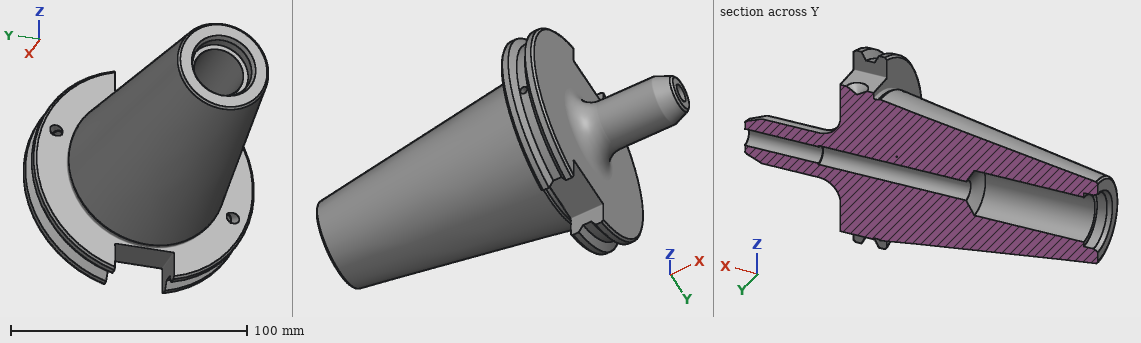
import cadquery as cq
import math

total_length = 165.1
flange_width = 15.7
flange_start = 104.8
flange_end = flange_start + flange_width
taper_length = 101.7
gauge_land_end = 102.7
fillet_end = 130.6
tip_cone_start = 156.8
tip_blend_length = 0.5
tip_edge_start = 164.1

gauge_diameter = 70.0
neck_diameter = 69.2
taper_ratio = 7 / 24
flange_diameter = 98.4
groove_diameter = 91.1
shank_diameter = 22.3
tip_cone_angle = 22
tip_edge_chamfer = total_length - tip_edge_start

taper_chamfer = 0.8
neck_fillet = 0.5
flange_chamfer = 1.0
groove_centre = flange_start + flange_width / 2
groove_floor_width = 4.0
groove_flank_angle = 30

bore_mouth_diameter = 28.5
counterbore_diameter = 26.3
bore_mouth_angle = 30
counterbore_depth = 6.6
bore_diameter = 22.0
bore_depth = 57.8
coolant_diameter = 9.0
outlet_diameter = 8.0
outlet_start = fillet_end
drill_point_angle = 118

slot_width = 26.3
upper_slot_height = 37.5
lower_slot_height = 35.2
slot_corner_fillet = 0.5
dimple_diameter = 9.5

face_hole_diameter = 5
groove_hole_diameter = 3.3
flange_hole_radius = 42.0
flange_hole_angle = 20
face_hole_tilt = 30
face_hole_depth = 3.3
inner_hole_diameter = 4.1


def drill_point_depth(large_diameter, small_diameter=0):
    """Axial length of a drill-point cone between two diameters."""
    return (large_diameter - small_diameter) / 2 / math.tan(math.radians(drill_point_angle / 2))


def revolve_about_x(profile):
    return profile.close().revolve(360, (0, 0, 0), (1, 0, 0))


def make_body():
    small_radius = (gauge_diameter - taper_ratio * taper_length) / 2
    flange_radius = flange_diameter / 2
    groove_radius = groove_diameter / 2
    half_floor = groove_floor_width / 2
    half_mouth = half_floor + (flange_radius - groove_radius) * math.tan(math.radians(groove_flank_angle))
    shank_radius = shank_diameter / 2
    fillet_radius = fillet_end - flange_end
    arc_offset = fillet_radius * math.sqrt(0.5)
    neck_arc_offset = neck_fillet * math.sqrt(0.5)
    cone_angle = math.radians(tip_cone_angle)
    blend_end = tip_cone_start + tip_blend_length
    blend_end_radius = shank_radius - tip_blend_length * math.tan(cone_angle / 2)
    tip_radius = blend_end_radius - (tip_edge_start - blend_end) * math.tan(cone_angle)
    profile = (
        cq.Workplane("XY")
        .moveTo(0, 0)
        .lineTo(0, small_radius - taper_chamfer)
        .lineTo(taper_chamfer, small_radius + taper_chamfer * taper_ratio / 2)
        .lineTo(taper_length, gauge_diameter / 2)
        .lineTo(gauge_land_end, neck_diameter / 2)
        .lineTo(flange_start - neck_fillet, neck_diameter / 2)
        .threePointArc(
            (flange_start - neck_fillet + neck_arc_offset, neck_diameter / 2 + neck_fillet - neck_arc_offset),
            (flange_start, neck_diameter / 2 + neck_fillet),
        )
        .lineTo(flange_start, flange_radius - flange_chamfer)
        .lineTo(flange_start + flange_chamfer, flange_radius)
        .lineTo(groove_centre - half_mouth, flange_radius)
        .lineTo(groove_centre - half_floor, groove_radius)
        .lineTo(groove_centre + half_floor, groove_radius)
        .lineTo(groove_centre + half_mouth, flange_radius)
        .lineTo(flange_end - flange_chamfer, flange_radius)
        .lineTo(flange_end, flange_radius - flange_chamfer)
        .lineTo(flange_end, shank_radius + fillet_radius)
        .threePointArc(
            (fillet_end - arc_offset, shank_radius + fillet_radius - arc_offset),
            (fillet_end, shank_radius),
        )
        .lineTo(tip_cone_start, shank_radius)
        .tangentArcPoint((blend_end, blend_end_radius), relative=False)
        .lineTo(tip_edge_start, tip_radius)
        .lineTo(total_length, tip_radius - tip_edge_chamfer)
        .lineTo(total_length, 0)
    )
    return revolve_about_x(profile)


def make_bore():
    mouth_chamfer_step = (bore_mouth_diameter - counterbore_diameter) / 2
    mouth_chamfer = mouth_chamfer_step / math.tan(math.radians(bore_mouth_angle))
    profile = (
        cq.Workplane("XY")
        .moveTo(0, 0)
        .lineTo(0, bore_mouth_diameter / 2)
        .lineTo(mouth_chamfer, counterbore_diameter / 2)
        .lineTo(counterbore_depth, counterbore_diameter / 2)
        .lineTo(counterbore_depth, bore_diameter / 2)
        .lineTo(bore_depth, bore_diameter / 2)
        .lineTo(bore_depth + drill_point_depth(bore_diameter, coolant_diameter), coolant_diameter / 2)
        .lineTo(outlet_start, coolant_diameter / 2)
        .lineTo(outlet_start, outlet_diameter / 2)
        .lineTo(total_length, outlet_diameter / 2)
        .lineTo(total_length, 0)
    )
    return revolve_about_x(profile)


def make_drive_slot(floor_height, side):
    """Slot open to the rim; side is 1 for +Z and -1 for -Z."""
    depth = flange_diameter / 2 - floor_height
    centre_height = side * (floor_height + depth / 2)
    floor_corners = "|X and <Z" if side > 0 else "|X and >Z"
    slot = cq.Workplane("XY").box(flange_width, slot_width, depth)
    slot = slot.edges(floor_corners).fillet(slot_corner_fillet)
    return slot.translate((groove_centre, 0, centre_height))


def make_dimple():
    profile = (
        cq.Workplane("XZ", origin=(groove_centre, 0, upper_slot_height))
        .lineTo(dimple_diameter / 2, 0)
        .lineTo(0, -drill_point_depth(dimple_diameter))
    )
    return profile.close().revolve(360, (0, 0, 0), (0, 1, 0))


def make_hole(start, direction, diameter, length):
    return cq.Workplane(cq.Solid.makeCylinder(diameter / 2, length, start, direction))


def cut_flange_holes(body, angle):
    """Cut an inclined stepped hole from the flange face and the radial groove hole that meets it."""
    outward = cq.Vector(0, math.cos(math.radians(angle)), math.sin(math.radians(angle)))
    tilt = math.radians(face_hole_tilt)
    inclined = cq.Vector(math.cos(tilt), 0, 0) - outward * math.sin(tilt)
    entry = cq.Vector(flange_start, 0, 0) + outward * flange_hole_radius
    inclined_length = (groove_centre - flange_start) / math.cos(tilt)
    meeting_point = entry + inclined * inclined_length
    lead = entry - inclined * face_hole_diameter
    body = body.cut(make_hole(lead, inclined, face_hole_diameter, face_hole_diameter + face_hole_depth))
    body = body.cut(make_hole(entry, inclined, inner_hole_diameter, inclined_length))
    return body.cut(make_hole(meeting_point, outward, groove_hole_diameter, flange_diameter / 2))


result = make_body().cut(make_bore())
result = result.cut(make_drive_slot(upper_slot_height, 1))
result = result.cut(make_drive_slot(lower_slot_height, -1))
result = result.cut(make_dimple())
for hole_angle in (flange_hole_angle, flange_hole_angle + 180):
    result = cut_flange_holes(result, hole_angle)